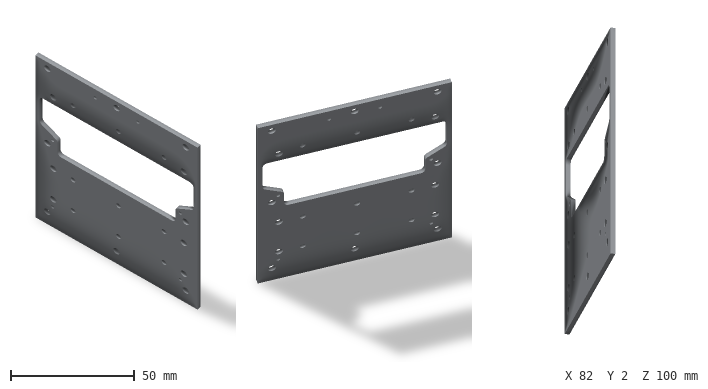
import cadquery as cq
import math

PLATE_WIDTH = 82.0
PLATE_HEIGHT = 100.0
PLATE_THICKNESS = 2.0

WINDOW_TOP = 26.0
WINDOW_BOTTOM = -4.0
WINDOW_HALF_WIDTH_TOP = 38.9
WINDOW_HALF_WIDTH_BOTTOM = 29.8
TAPER_START = 10.0
TAPER_ANGLE = 30.0
WINDOW_CORNER_RADIUS = 2.0

LARGE_DIAMETER = 3.3
MEDIUM_DIAMETER = 2.5
SMALL_DIAMETER = 1.6

EDGE_HOLE_X = 35.0
EDGE_TOP_Z = 46.0
EDGE_MIDDLE_Z = 0.0
EDGE_BOTTOM_Z = -42.4

PATTERN_CENTER_X = 1.0
PATTERN_LARGE_OFFSET = 33.0
PATTERN_MEDIUM_OFFSET = 23.0
PATTERN_LOWER_ROWS_Z = (-13.7, -32.7)
PATTERN_LARGE_TOP_Z = 30.3
PATTERN_MEDIUM_TOP_Z = 32.1

SMALL_TOP_X = 10.8
SMALL_TOP_Z = 44.8
SMALL_SIDE_X = 32.3
SMALL_SIDE_ROWS_Z = (3.5, -37.6)


def grid(columns, rows):
    """All (x, z) positions of a rectangular hole grid."""
    return [(x, z) for x in columns for z in rows]


def through_holes(points, diameter):
    """Cylinders that pass through the full plate thickness."""
    return (
        cq.Workplane("XZ")
        .pushPoints(points)
        .circle(diameter / 2)
        .extrude(PLATE_THICKNESS / 2, both=True)
    )


def window():
    """Stepped window with all eight corners rounded."""
    taper_run = WINDOW_HALF_WIDTH_TOP - WINDOW_HALF_WIDTH_BOTTOM
    taper_end = TAPER_START - taper_run * math.tan(math.radians(TAPER_ANGLE))
    right_side = [
        (WINDOW_HALF_WIDTH_TOP, WINDOW_TOP),
        (WINDOW_HALF_WIDTH_TOP, TAPER_START),
        (WINDOW_HALF_WIDTH_BOTTOM, taper_end),
        (WINDOW_HALF_WIDTH_BOTTOM, WINDOW_BOTTOM),
    ]
    left_side = [(-x, z) for x, z in reversed(right_side)]
    return (
        cq.Workplane("XZ")
        .polyline(right_side + left_side)
        .close()
        .extrude(PLATE_THICKNESS / 2, both=True)
        .edges("|Y")
        .fillet(WINDOW_CORNER_RADIUS)
    )


edge_holes = grid((-EDGE_HOLE_X, EDGE_HOLE_X), (EDGE_TOP_Z, EDGE_MIDDLE_Z, EDGE_BOTTOM_Z))
center_holes = grid((0,), (EDGE_TOP_Z, EDGE_BOTTOM_Z))

pattern_large_holes = grid(
    (PATTERN_CENTER_X - PATTERN_LARGE_OFFSET, PATTERN_CENTER_X + PATTERN_LARGE_OFFSET),
    (PATTERN_LARGE_TOP_Z, *PATTERN_LOWER_ROWS_Z),
)
pattern_medium_holes = grid(
    (
        PATTERN_CENTER_X - PATTERN_MEDIUM_OFFSET,
        PATTERN_CENTER_X,
        PATTERN_CENTER_X + PATTERN_MEDIUM_OFFSET,
    ),
    (PATTERN_MEDIUM_TOP_Z, *PATTERN_LOWER_ROWS_Z),
)

small_top_holes = grid((-SMALL_TOP_X, SMALL_TOP_X), (SMALL_TOP_Z,))
small_side_holes = grid((-SMALL_SIDE_X, SMALL_SIDE_X), SMALL_SIDE_ROWS_Z)

plate = cq.Workplane("XY").box(PLATE_WIDTH, PLATE_THICKNESS, PLATE_HEIGHT)

result = (
    plate.cut(window())
    .cut(through_holes(edge_holes + center_holes + pattern_large_holes, LARGE_DIAMETER))
    .cut(through_holes(pattern_medium_holes, MEDIUM_DIAMETER))
    .cut(through_holes(small_top_holes + small_side_holes, SMALL_DIAMETER))
)